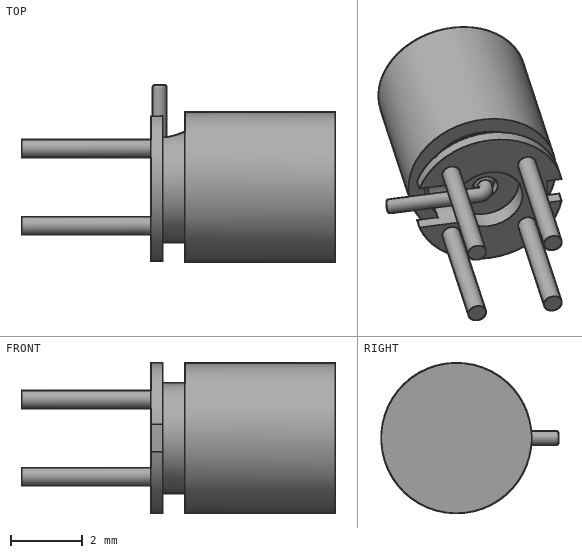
import cadquery as cq

total_length = 8.75
flange_front = 3.605
flange_back = 3.94
body_front = 4.55
bore_floor = 4.16

body_radius = 2.1
neck_radius = 1.55
bore_radius = 0.95
insert_radius = 1.03
groove_radius = 1.65

pin_radius = 0.25
pin_offset = 1.08

wire_radius = 0.2
wire_axis_x = 3.85
wire_end_y = 2.85
wire_bend_radius = 0.26
wire_end_round = 0.08
slot_radius = 0.69
wire_hole_radius = 0.36
bead_radius = 0.33

notch_width = 0.77
notch_floor_y = -1.65


def disc(radius, start, end, y=0.0, z=0.0):
    """Cylinder parallel to X between two X positions."""
    return cq.Workplane("YZ", origin=(start, y, z)).circle(radius).extrude(end - start)


def cone(front_radius, back_radius, start, end):
    """Cone frustum about the X axis."""
    outline = [(start, 0), (start, front_radius), (end, back_radius), (end, 0)]
    return cq.Workplane("XY").polyline(outline).close().revolve(360, (0, 0), (1, 0))


def make_housing():
    """Flange, neck and body, with a bevelled groove around the neck and a central bore."""
    flange = disc(body_radius, flange_front, flange_back)
    neck = disc(neck_radius, flange_back, body_front)
    body = disc(body_radius, body_front, total_length)
    groove_depth = groove_radius - neck_radius
    groove = cone(groove_radius, neck_radius, body_front, body_front + groove_depth)
    groove = groove.cut(disc(neck_radius, body_front, body_front + groove_depth))
    housing = flange.union(neck).union(body.cut(groove))
    return housing.cut(disc(bore_radius, flange_front, bore_floor))


def make_slot():
    """Round-bottomed slot running from the insert out through the +Y rim."""
    round_bottom = cq.Workplane("XZ", origin=(wire_axis_x, 0, 0)).circle(slot_radius).extrude(-body_radius)
    open_side = cq.Workplane("XY").box(
        wire_axis_x - flange_front, body_radius, 2 * slot_radius, centered=(False, False, True)
    )
    slot = round_bottom.union(open_side.translate((flange_front, 0, 0)))
    return slot.cut(disc(insert_radius, bore_floor, total_length))


def make_notch():
    """Square notch through the flange rim on the -Y side."""
    thickness = flange_back - flange_front
    notch = cq.Workplane("XY").box(thickness, body_radius, notch_width, centered=(False, False, True))
    return notch.translate((flange_front, notch_floor_y - body_radius, 0))


def make_wire_hole():
    """Round hole in the insert around the bead."""
    return disc(wire_hole_radius, bore_floor, bore_floor + bead_radius)


def make_bead():
    """Ball on the wire, sunk so that its tip is level with the insert face."""
    return cq.Workplane("XY", origin=(bore_floor + bead_radius, 0, 0)).sphere(bead_radius)


def make_wire():
    """Wire that leaves the insert along the axis and bends towards +Y."""
    bend_end_x = wire_axis_x + wire_bend_radius
    straight = cq.Workplane("XZ", origin=(wire_axis_x, wire_bend_radius, 0)).circle(wire_radius)
    straight = straight.extrude(wire_bend_radius - wire_end_y).faces(">Y").edges().fillet(wire_end_round)
    bend = cq.Workplane("YZ", origin=(bend_end_x, 0, 0)).circle(wire_radius)
    bend = bend.revolve(90, (wire_bend_radius, 0.09, 0), (wire_bend_radius, 0, 0))
    return straight.union(bend).union(disc(wire_radius, bend_end_x, body_front))


result = make_housing().cut(make_slot()).cut(make_notch()).cut(make_wire_hole())
result = result.union(make_bead()).union(make_wire())
for y in (-pin_offset, pin_offset):
    for z in (-pin_offset, pin_offset):
        result = result.union(disc(pin_radius, 0, flange_back, y, z))